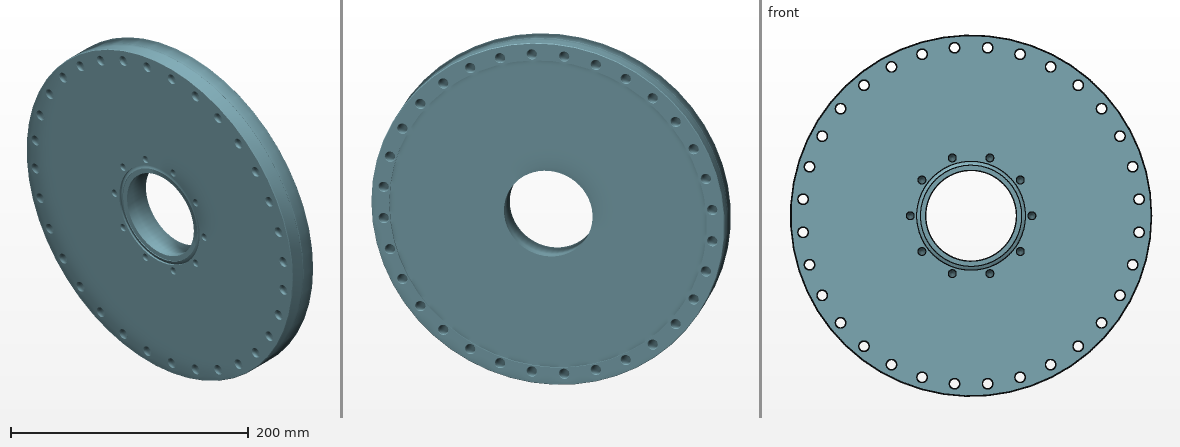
import cadquery as cq
import math

outer_diameter = 304.0
thickness = 25.9
rim_chamfer = 0.5

groove_width = 1.0
groove_depth = 0.5

bore_diameter = 76.2
seal_recess_diameter = 91.6
seal_recess_depth = 1.8
knife_diameter = 85.2
knife_tip_depth = 0.6
inner_floor_depth = 1.2

back_recess_diameter = 273.1
back_recess_depth = inner_floor_depth

bolt_count = 32
bolt_hole_diameter = 8.4
bolt_circle_diameter = 284.0
bolt_hole_chamfer = 0.3

tapped_count = 10
tapped_hole_diameter = 6.65
tapped_circle_diameter = 102.3
tapped_depth = 15.0
drill_point_angle = 118.0

front_y = -thickness / 2
back_y = thickness / 2


def flange_body():
    """Revolve the half section, drawn as (radius, y), about the Y axis."""
    outer_r = outer_diameter / 2
    bore_r = bore_diameter / 2
    seal_recess_r = seal_recess_diameter / 2
    knife_r = knife_diameter / 2
    back_recess_r = back_recess_diameter / 2
    half_groove = groove_width / 2
    section = (
        cq.Workplane("XY")
        .moveTo(bore_r, back_y - back_recess_depth)
        .lineTo(back_recess_r, back_y - back_recess_depth)
        .lineTo(back_recess_r, back_y)
        .lineTo(outer_r - rim_chamfer, back_y)
        .lineTo(outer_r, back_y - rim_chamfer)
        .lineTo(outer_r, half_groove)
        .lineTo(outer_r - groove_depth, 0)
        .lineTo(outer_r, -half_groove)
        .lineTo(outer_r, front_y + rim_chamfer)
        .lineTo(outer_r - rim_chamfer, front_y)
        .lineTo(seal_recess_r, front_y)
        .lineTo(seal_recess_r, front_y + seal_recess_depth)
        .lineTo(knife_r, front_y + knife_tip_depth)
        .lineTo(knife_r, front_y + inner_floor_depth)
        .lineTo(bore_r, front_y + inner_floor_depth)
        .close()
    )
    return section.revolve(360, (0, 0, 0), (0, 1, 0))


def circle_points(count, diameter, start_angle):
    """Evenly spaced (x, z) positions on a circle, angles in degrees."""
    radius = diameter / 2
    points = []
    for index in range(count):
        angle = math.radians(start_angle + index * 360 / count)
        points.append((radius * math.cos(angle), radius * math.sin(angle)))
    return points


def place_around(cutter, positions):
    """Copy a cutter lying on the Y axis to each (x, z) position."""
    copies = cq.Workplane("XY")
    for x, z in positions:
        copies = copies.add(cutter.translate((x, 0, z)))
    return copies.combine()


def bolt_holes():
    """Through holes chamfered at both ends, straddling the X and Z axes."""
    hole_r = bolt_hole_diameter / 2
    mouth_r = hole_r + bolt_hole_chamfer
    cutter = (
        cq.Workplane("XY")
        .moveTo(0, front_y)
        .lineTo(mouth_r, front_y)
        .lineTo(hole_r, front_y + bolt_hole_chamfer)
        .lineTo(hole_r, back_y - bolt_hole_chamfer)
        .lineTo(mouth_r, back_y)
        .lineTo(0, back_y)
        .close()
        .revolve(360, (0, 0, 0), (0, 1, 0))
    )
    half_pitch = 180 / bolt_count
    return place_around(cutter, circle_points(bolt_count, bolt_circle_diameter, half_pitch))


def tapped_holes():
    """Blind drilled holes with conical bottoms, the first one on the +X axis."""
    hole_r = tapped_hole_diameter / 2
    point_depth = hole_r / math.tan(math.radians(drill_point_angle / 2))
    drill = (
        cq.Workplane("XY")
        .moveTo(0, front_y)
        .lineTo(hole_r, front_y)
        .lineTo(hole_r, front_y + tapped_depth)
        .lineTo(0, front_y + tapped_depth + point_depth)
        .close()
        .revolve(360, (0, 0, 0), (0, 1, 0))
    )
    return place_around(drill, circle_points(tapped_count, tapped_circle_diameter, 0))


result = flange_body().cut(bolt_holes()).cut(tapped_holes())